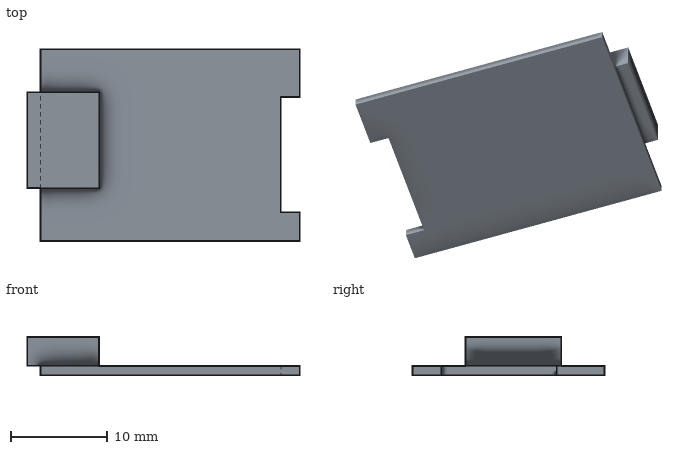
import cadquery as cq

total_length = 28.4
total_height = 4.0

board_length = 27.0
board_width = 20.0
board_thickness = 1.0

notch_depth = 2.0
notch_width = 11.98
notch_front_margin = 3.0

connector_length = 7.5
connector_width = 10.0
connector_front_margin = 5.5
connector_overhang = total_length - board_length
connector_height = total_height - board_thickness


def corner_box(length, width, height, corner):
    """Box whose lowest X, Y and Z corner is at the given point."""
    return cq.Workplane("XY").box(length, width, height, centered=False).translate(corner)


def make_board():
    """Flat board, its -X, -Y bottom corner at the origin, with an edge notch."""
    plate = corner_box(board_length, board_width, board_thickness, (0, 0, 0))
    notch = corner_box(
        notch_depth,
        notch_width,
        board_thickness,
        (board_length - notch_depth, notch_front_margin, 0),
    )
    return plate.cut(notch)


def make_connector():
    """Plain block resting on the top face of the board."""
    return corner_box(
        connector_length,
        connector_width,
        connector_height,
        (-connector_overhang, connector_front_margin, board_thickness),
    )


board = make_board()
connector = make_connector()

result = cq.Compound.makeCompound([board.val(), connector.val()])